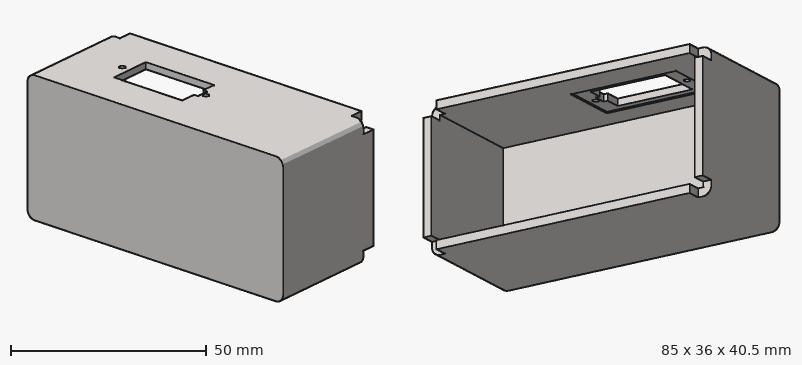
import cadquery as cq

LENGTH = 85.0
DEPTH = 36.0
HEIGHT = 40.5
WALL = 2.5
CORNER_RADIUS = WALL

NOTCH_SIZE = 4.0

OPENING_LENGTH = 22.7
OPENING_WIDTH = 12.7
OPENING_X = 30.2
OPENING_Y = 18.3
TAB_REACH = 1.3
TAB_WIDTH = 3.65
TAB_Y = OPENING_Y + 0.2
SCREW_SPACING = 27.8
SCREW_DIAMETER = 1.7

SEAT_DEPTH = 0.4
SEAT_MARGIN = 2.1
SEAT_LENGTH = SCREW_SPACING + 2 * SEAT_MARGIN
SEAT_WIDTH = OPENING_WIDTH + 2 * SEAT_MARGIN


def block(x, y, z, length, depth, height):
    """Box whose minimum corner is at (x, y, z)."""
    return cq.Workplane("XY").box(length, depth, height, centered=False).translate((x, y, z))


def shell():
    """Hollow box with a closed front and rounded edges along Y."""
    outside = block(0, 0, 0, LENGTH, DEPTH, HEIGHT).edges("|Y").fillet(CORNER_RADIUS)
    inside = block(WALL, WALL, WALL, LENGTH - 2 * WALL, DEPTH - WALL, HEIGHT - 2 * WALL)
    return outside.cut(inside)


def corner_notches(body):
    """Remove the four corners of the walls at the open end."""
    for x in (0, LENGTH - NOTCH_SIZE):
        for z in (0, HEIGHT - NOTCH_SIZE):
            notch = block(x, DEPTH - NOTCH_SIZE, z, NOTCH_SIZE, NOTCH_SIZE, NOTCH_SIZE)
            body = body.cut(notch)
    return body


def opening_seat(body):
    """Thin the top wall from inside around the opening."""
    seat = block(
        OPENING_X - SEAT_LENGTH / 2, OPENING_Y - SEAT_WIDTH / 2, HEIGHT - WALL,
        SEAT_LENGTH, SEAT_WIDTH, SEAT_DEPTH,
    )
    return body.cut(seat)


def top_opening(body):
    """Cut the tabbed opening and its screw holes through the top wall."""
    floor = HEIGHT - WALL
    right_edge = OPENING_X + OPENING_LENGTH / 2
    opening = block(
        OPENING_X - OPENING_LENGTH / 2, OPENING_Y - OPENING_WIDTH / 2, floor,
        OPENING_LENGTH, OPENING_WIDTH, WALL,
    )
    tab = block(right_edge, TAB_Y - TAB_WIDTH / 2, floor, TAB_REACH, TAB_WIDTH, WALL)
    screws = (
        cq.Workplane("XY", origin=(OPENING_X, OPENING_Y, floor))
        .rarray(SCREW_SPACING, 0.85, 2, 1)
        .circle(SCREW_DIAMETER / 2)
        .extrude(WALL)
    )
    return body.cut(opening.union(tab)).cut(screws)


result = top_opening(opening_seat(corner_notches(shell())))